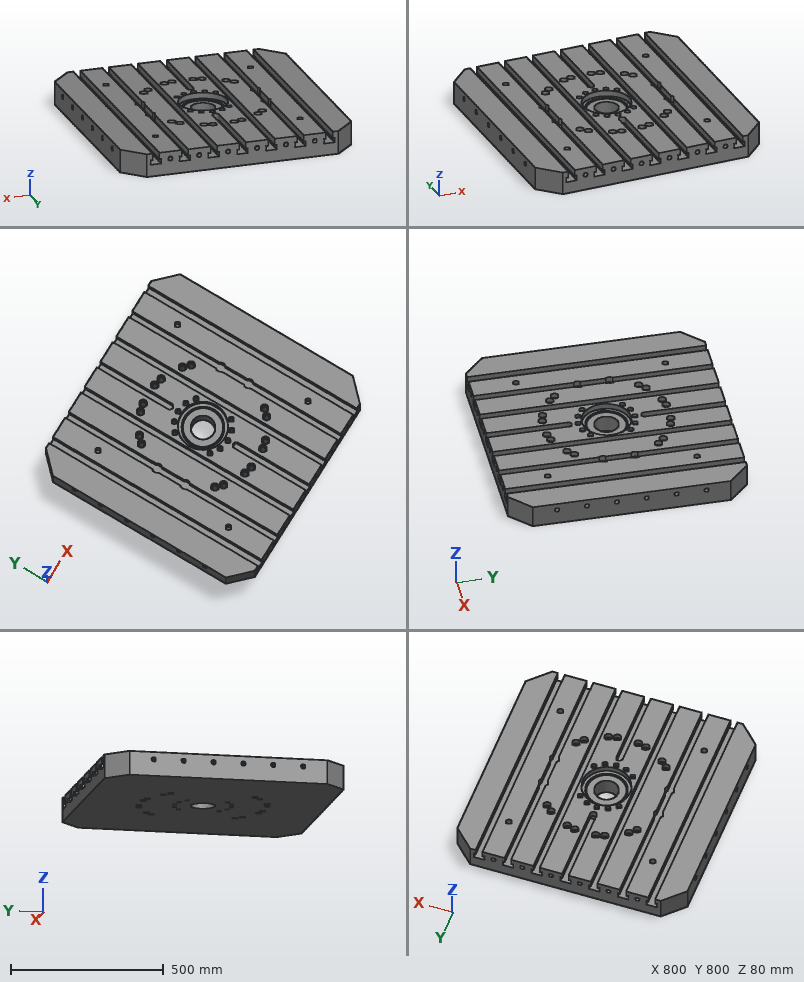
import cadquery as cq
import math

side = 800.0
thickness = 80.0
corner_chamfer = 69.0
half_side = side / 2

slots_each_side = 3
slot_pitch = 100.0
neck_width = 22.0
outer_neck_width = 24.0
head_width = 37.0
head_height = 16.0
slot_depth = 38.0
central_slot_end = 116.0
slot_floor = thickness - slot_depth

opening_diameter = 32.0
opening_x = 2 * slot_pitch
opening_y = 54.0

bore_diameter = 81.0
recess_diameter = 164.0
recess_depth = 20.0
groove_outer_diameter = 141.0
groove_inner_diameter = 131.0
groove_depth = 2.0

small_circle_radius = 95.0
small_hole = 11.0
small_counterbore = 18.0
small_counterbore_depth = 11.0
small_first_angle = 45.0
small_angle_step = 22.5
small_holes_per_arc = 5

large_circle_radius = 210.0
large_hole = 18.0
large_counterbore = 26.0
large_counterbore_depth = 18.0
pair_start_angles = (42.0, 72.0)
pair_spread = 8.0

drill_point_angle = 118.0
lifting_hole = 19.0
lifting_hole_depth = 32.0
edge_hole = 14.0
edge_hole_depth = 24.0
edge_hole_drop = 25.0
edge_hole_count = 6

row_start = -(edge_hole_count - 1) / 2 * slot_pitch
hole_row = [row_start + i * slot_pitch for i in range(edge_hole_count)]


def cylinder(x, y, diameter, z_low, z_high):
    return cq.Workplane("XY", origin=(x, y, z_low)).circle(diameter / 2).extrude(z_high - z_low)


def bar(width, y_start, y_end, height):
    """Bar along Y, centred on x = 0 and rising from the slot floor."""
    length = y_end - y_start
    middle = (y_start + y_end) / 2
    return cq.Workplane("XY", origin=(0, middle, slot_floor)).rect(width, length).extrude(height)


def through_slot(width):
    """T-slot cutter running the full length of the plate."""
    neck = bar(width, -half_side, half_side, slot_depth)
    return neck.union(bar(head_width, -half_side, half_side, head_height))


def stopped_slot():
    """T-slot cutter from the +Y edge towards the centre: round neck end, flat head end."""
    end_y = central_slot_end + neck_width / 2
    neck = bar(neck_width, end_y, half_side, slot_depth)
    round_end = cylinder(0, end_y, neck_width, slot_floor, thickness)
    head = bar(head_width, central_slot_end, half_side, head_height)
    return neck.union(round_end).union(head)


def counterbored_hole(circle_radius, angle, diameter, counterbore, counterbore_depth):
    x = circle_radius * math.cos(math.radians(angle))
    y = circle_radius * math.sin(math.radians(angle))
    drill = cylinder(x, y, diameter, 0, thickness)
    return drill.union(cylinder(x, y, counterbore, thickness - counterbore_depth, thickness))


def blind_hole(diameter, depth):
    """Cutter pointing down from the origin, with a conical tip below its full depth."""
    radius = diameter / 2
    tip = radius / math.tan(math.radians(drill_point_angle / 2))
    profile = [(0, 0), (radius, 0), (radius, -depth), (0, -depth - tip)]
    return cq.Workplane("XZ").polyline(profile).close().revolve(360, (0, 0), (0, 1))


plate = cq.Workplane("XY").rect(side, side).extrude(thickness).edges("|Z").chamfer(corner_chamfer)

for index in range(1, slots_each_side + 1):
    width = outer_neck_width if index == slots_each_side else neck_width
    for x in (-index * slot_pitch, index * slot_pitch):
        plate = plate.cut(through_slot(width).translate((x, 0, 0)))

for turn in (0, 180):
    plate = plate.cut(stopped_slot().rotate((0, 0, 0), (0, 0, 1), turn))

for x in (-opening_x, opening_x):
    for y in (-opening_y, opening_y):
        plate = plate.cut(cylinder(x, y, opening_diameter, slot_floor, thickness))

recess_floor = thickness - recess_depth
groove_floor = recess_floor - groove_depth
groove = cylinder(0, 0, groove_outer_diameter, groove_floor, recess_floor)
groove = groove.cut(cylinder(0, 0, groove_inner_diameter, groove_floor, recess_floor))
plate = plate.cut(cylinder(0, 0, recess_diameter, recess_floor, thickness))
plate = plate.cut(cylinder(0, 0, bore_diameter, 0, thickness))
plate = plate.cut(groove)

for arc_start in (small_first_angle, small_first_angle + 180):
    for i in range(small_holes_per_arc):
        angle = arc_start + i * small_angle_step
        plate = plate.cut(
            counterbored_hole(
                small_circle_radius, angle, small_hole, small_counterbore, small_counterbore_depth
            )
        )

for start in pair_start_angles:
    for first in (start, start + pair_spread):
        for angle in (first, 180 - first, 180 + first, -first):
            plate = plate.cut(
                counterbored_hole(
                    large_circle_radius, angle, large_hole, large_counterbore, large_counterbore_depth
                )
            )

for x in (hole_row[0], hole_row[-1]):
    for y in (hole_row[0], hole_row[-1]):
        plate = plate.cut(blind_hole(lifting_hole, lifting_hole_depth).translate((x, y, thickness)))

edge_drill = blind_hole(edge_hole, edge_hole_depth).rotate((0, 0, 0), (1, 0, 0), 90)
for quarter_turn in range(4):
    for x in hole_row:
        hole = edge_drill.translate((x, -half_side, thickness - edge_hole_drop))
        plate = plate.cut(hole.rotate((0, 0, 0), (0, 0, 1), 90 * quarter_turn))

result = plate